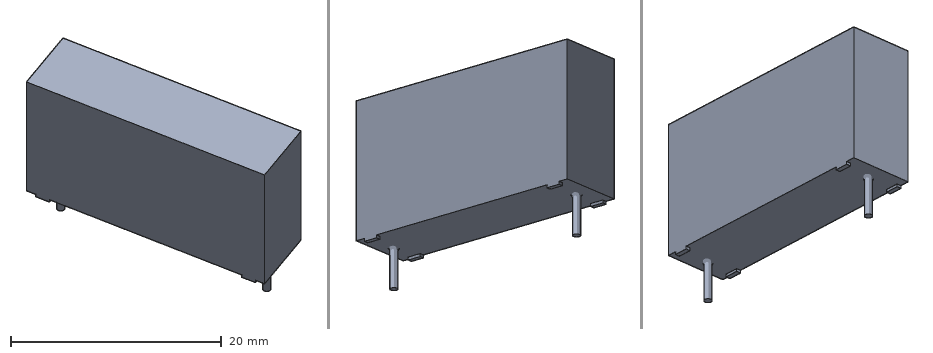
import cadquery as cq
import math


case_length = 26.0
case_width = 7.0
overall_height = 18.5

lead_diameter = 0.8
lead_pitch = 22.5
lead_length = 4.0
meniscus_radius = 0.5

foot_length = 1.5
foot_width = 0.5
foot_height = 0.3

case_height = overall_height - lead_length - foot_height
lead_radius = lead_diameter / 2
lead_x = lead_pitch / 2
foot_y = (case_width - foot_width) / 2


def make_case():
    return (
        cq.Workplane("XY")
        .workplane(offset=foot_height)
        .rect(case_length, case_width)
        .extrude(case_height)
    )


def make_foot(x, y):
    return (
        cq.Workplane("XY")
        .center(x, y)
        .rect(foot_length, foot_width)
        .extrude(foot_height)
    )


def make_lead(x):
    """Lead and its concave flare, revolved as one profile about the lead axis."""
    flare_radius = lead_radius + meniscus_radius
    flare_bottom = foot_height - meniscus_radius
    arc_inset = meniscus_radius * (1 - math.sqrt(0.5))
    arc_middle = (lead_radius + arc_inset, foot_height - arc_inset)
    profile = (
        cq.Workplane("XZ")
        .moveTo(0, -lead_length)
        .lineTo(lead_radius, -lead_length)
        .lineTo(lead_radius, flare_bottom)
        .threePointArc(arc_middle, (flare_radius, foot_height))
        .lineTo(0, foot_height)
        .close()
    )
    return profile.revolve(360, (0, 0, 0), (0, 1, 0)).translate((x, 0, 0))


result = make_case()
for end_x in (-lead_x, lead_x):
    result = result.union(make_lead(end_x))
    for side_y in (-foot_y, foot_y):
        result = result.union(make_foot(end_x, side_y))